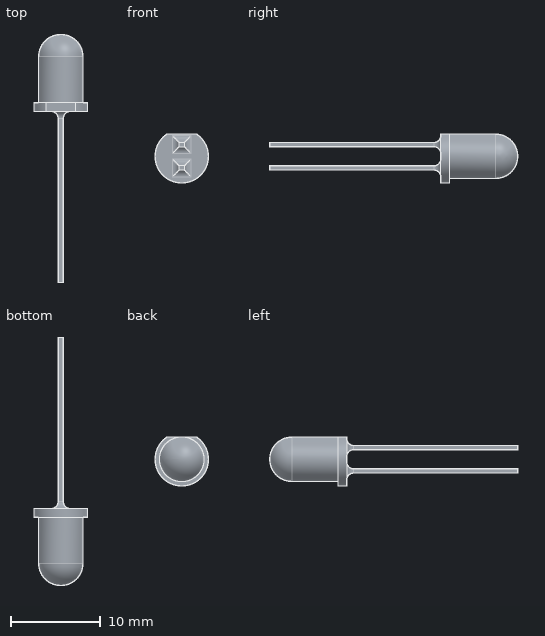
import cadquery as cq
import math

overall_length = 27.7
body_length = 8.6
lens_radius = 2.5
flange_radius = 3.0
flange_thickness = 1.0
flat_height = lens_radius

lead_width = 0.6
lead_height = 0.5
lead_pitch = 2.6
lead_length = overall_length - body_length
flare_radius = 0.75


def make_lens():
    """Cylinder with a hemispherical nose, revolved about the Y axis."""
    dome_start = body_length - lens_radius
    diagonal = lens_radius * math.sqrt(0.5)
    return (
        cq.Workplane("XY")
        .lineTo(lens_radius, 0)
        .lineTo(lens_radius, dome_start)
        .threePointArc((diagonal, dome_start + diagonal), (0, body_length))
        .close()
        .revolve(360, (0, 0, 0), (0, 1, 0))
    )


def make_flange():
    """Disc with one flat facing +Z."""
    disc = cq.Workplane("XZ").circle(flange_radius).extrude(-flange_thickness)
    height = flange_radius + flat_height
    keep = cq.Workplane("XY").box(2 * flange_radius, 2 * flange_thickness, height)
    return disc.intersect(keep.translate((0, 0, flat_height - height / 2)))


def flare_profile(plane, lead_size, depth):
    """Prism whose two concave sides sweep from the flange face to the lead."""
    half_lead = lead_size / 2
    half_foot = half_lead + flare_radius
    arc_inset = flare_radius * (1 - math.sqrt(0.5))
    return (
        cq.Workplane(plane)
        .moveTo(-half_foot, 0)
        .lineTo(half_foot, 0)
        .threePointArc((half_lead + arc_inset, -arc_inset), (half_lead, -flare_radius))
        .lineTo(-half_lead, -flare_radius)
        .threePointArc((-half_lead - arc_inset, -arc_inset), (-half_foot, 0))
        .close()
        .extrude(depth / 2, both=True)
    )


def make_lead():
    """Rectangular lead with a mitred concave flare at its root."""
    foot_width = lead_width + 2 * flare_radius
    foot_height = lead_height + 2 * flare_radius
    flare = flare_profile("XY", lead_width, foot_height).intersect(
        flare_profile("ZY", lead_height, foot_width)
    )
    return cq.Workplane("XZ").rect(lead_width, lead_height).extrude(lead_length).union(flare)


result = make_lens().union(make_flange())
for side in (-1, 1):
    result = result.union(make_lead().translate((0, 0, side * lead_pitch / 2)))